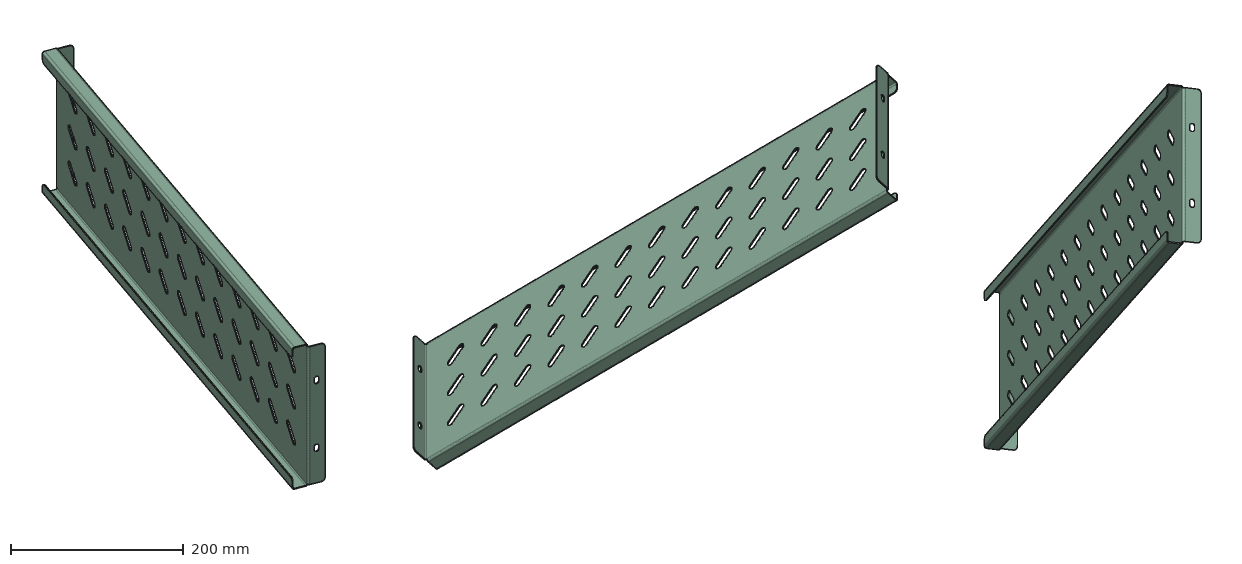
import cadquery as cq
import math

total_length = 692.0
total_depth = 41.0
total_height = 197.0

thickness = 1.5
inner_radius = 1.5
outer_radius = inner_radius + thickness
corner_radius = 5.0

channel_length = total_length - 2 * outer_radius
channel_depth = 20.0
lip_height = 15.0

end_flange_height = total_height - 2 * outer_radius
end_slot_length = 10.0
end_slot_width = 6.0
end_slot_count = 2
end_slot_spacing = 94.0
end_slot_from_back = 11.0

slot_columns = 13
slot_rows = 3
slot_pitch = 50.0
slot_length = 30.5
slot_width = 8.5
slot_angle = -45.0

web_front = -thickness
channel_front = -channel_depth
flange_back = total_depth - channel_depth


def make_channel():
    """C-section with inward lips, extruded along X; the outer corners are rounded bends."""
    inside_depth = channel_depth - 2 * thickness
    inside_height = total_height - 2 * thickness
    lip_end = total_height / 2 - lip_height
    outer = (
        cq.Workplane("YZ")
        .rect(channel_depth, total_height)
        .extrude(channel_length / 2, both=True)
        .edges("|X")
        .fillet(outer_radius)
    )
    inner = (
        cq.Workplane("YZ")
        .rect(inside_depth, inside_height)
        .extrude(channel_length / 2, both=True)
        .edges("|X")
        .fillet(inner_radius)
    )
    front_opening = cq.Workplane("XY").box(channel_length, channel_depth, 2 * lip_end)
    front_opening = front_opening.translate((0, -channel_depth / 2, 0))
    section = outer.cut(inner).cut(front_opening)
    section = section.translate((0, channel_front / 2, 0))
    lip_corners = section.edges("|Y").filter(lambda edge: edge.Center().y < channel_front + thickness)
    lip_corners = lip_corners.filter(lambda edge: abs(edge.Center().z) < lip_end + thickness)
    return lip_corners.fillet(corner_radius)


def make_end_flange():
    """Flange at the +X end: quarter bend from the web, then a flat plate running backward."""
    bend_start = channel_length / 2
    outside = total_length / 2
    inside = outside - thickness
    bend_end = web_front + outer_radius
    bend_centre = (bend_start, bend_end)
    diagonal = math.sqrt(0.5)

    def bend_middle(radius):
        return (bend_centre[0] + radius * diagonal, bend_centre[1] - radius * diagonal)

    flange = (
        cq.Workplane("XY")
        .moveTo(bend_start, web_front)
        .threePointArc(bend_middle(outer_radius), (outside, bend_end))
        .lineTo(outside, flange_back)
        .lineTo(inside, flange_back)
        .lineTo(inside, bend_end)
        .threePointArc(bend_middle(inner_radius), (bend_start, 0))
        .close()
        .extrude(end_flange_height / 2, both=True)
    )
    flange = flange.edges("|X and >Y").fillet(corner_radius)
    slots = (
        cq.Workplane("YZ", origin=(bend_start, flange_back - end_slot_from_back, 0))
        .rarray(1, end_slot_spacing, 1, end_slot_count)
        .slot2D(end_slot_length, end_slot_width, 90)
        .extrude(2 * outer_radius)
    )
    return flange.cut(slots)


def make_slots():
    """Grid of diagonal cutters passing through the web."""
    return (
        cq.Workplane("XZ", origin=(0, thickness, 0))
        .rarray(slot_pitch, slot_pitch, slot_columns, slot_rows)
        .slot2D(slot_length, slot_width, slot_angle)
        .extrude(3 * thickness)
    )


end_flange = make_end_flange()
result = make_channel().union(end_flange).union(end_flange.mirror("YZ")).cut(make_slots())